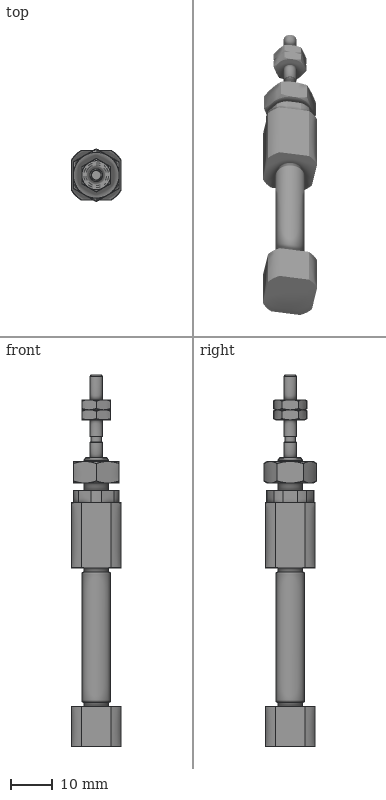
import cadquery as cq
import math

TOTAL_LENGTH = 89.5

COVER_WIDTH = 12.0
COVER_CORNER_DIAMETER = 14.0
REAR_COVER_TOP = 9.7
FRONT_COVER_BOTTOM = 43.05
FRONT_COVER_TOP = 58.7

NECK_DIAMETER = 6.0
TUBE_DIAMETER = 7.0
TUBE_BOTTOM = 10.65
TUBE_TOP = 42.0

HEX_ACROSS_FLATS = 11.0
COLLAR_TURNED_DIAMETER = 11.55
COLLAR_TOP = 61.7

THREAD_DIAMETER = 6.0
THREAD_TIP_DIAMETER = 5.0
THREAD_TOP = 69.5
THREAD_CHAMFER_HEIGHT = 0.6
MOUNT_NUT_BOTTOM = 63.5
MOUNT_NUT_HEIGHT = 5.2

ROD_DIAMETER = 3.0
ROD_CHAMFER = 0.4
UNDERCUT_DIAMETER = 2.6
UNDERCUT_BOTTOM = 73.4
UNDERCUT_TOP = 74.6
UNDERCUT_CHAMFER = (ROD_DIAMETER - UNDERCUT_DIAMETER) / 2
LOCK_NUT_ACROSS_FLATS = 7.0
LOCK_NUT_BOTTOM = 78.7
LOCK_NUT_HEIGHT = 2.4
LOCK_NUT_COUNT = 2

NUT_CHAMFER_ANGLE = 30.0


def cylinder(diameter, bottom, top):
    """Upright cylinder on the Z axis."""
    return cq.Workplane("XY").workplane(offset=bottom).circle(diameter / 2).extrude(top - bottom)


def hex_prism(across_flats, bottom, height):
    """Hexagonal prism on the Z axis, with two corners on the Y axis."""
    across_corners = across_flats / math.cos(math.pi / 6)
    prism = cq.Workplane("XY").workplane(offset=bottom).polygon(6, across_corners).extrude(height)
    return prism.rotate((0, 0, 0), (0, 0, 1), 30)


def chamfered_nut(across_flats, bottom, height):
    """Solid hexagonal nut whose corners are coned off at both ends."""
    flat_radius = across_flats / 2
    corner_radius = flat_radius / math.cos(math.pi / 6)
    drop = (corner_radius - flat_radius) * math.tan(math.radians(NUT_CHAMFER_ANGLE))
    top = bottom + height
    envelope = (
        cq.Workplane("XZ")
        .polyline([
            (0, bottom),
            (flat_radius, bottom),
            (corner_radius, bottom + drop),
            (corner_radius, top - drop),
            (flat_radius, top),
            (0, top),
        ])
        .close()
        .revolve(360, (0, 0, 0), (0, 1, 0))
    )
    return hex_prism(across_flats, bottom, height).intersect(envelope)


def cover(bottom, top):
    """Square cover whose vertical corners are turned to a common cylinder."""
    block = cq.Workplane("XY").workplane(offset=bottom).rect(COVER_WIDTH, COVER_WIDTH).extrude(top - bottom)
    return block.intersect(cylinder(COVER_CORNER_DIAMETER, bottom, top))


def make_tube():
    """Tube with quarter-round ends, on a neck that joins the two covers."""
    neck_radius = NECK_DIAMETER / 2
    tube_radius = TUBE_DIAMETER / 2
    edge_radius = tube_radius - neck_radius
    return (
        cq.Workplane("XZ")
        .moveTo(0, REAR_COVER_TOP)
        .lineTo(neck_radius, REAR_COVER_TOP)
        .lineTo(neck_radius, TUBE_BOTTOM)
        .radiusArc((tube_radius, TUBE_BOTTOM + edge_radius), -edge_radius)
        .lineTo(tube_radius, TUBE_TOP - edge_radius)
        .radiusArc((neck_radius, TUBE_TOP), -edge_radius)
        .lineTo(neck_radius, FRONT_COVER_BOTTOM)
        .lineTo(0, FRONT_COVER_BOTTOM)
        .close()
        .revolve(360, (0, 0, 0), (0, 1, 0))
    )


def make_collar():
    """Hexagonal collar with its corners turned to a cylinder."""
    collar = hex_prism(HEX_ACROSS_FLATS, FRONT_COVER_TOP, COLLAR_TOP - FRONT_COVER_TOP)
    return collar.intersect(cylinder(COLLAR_TURNED_DIAMETER, FRONT_COVER_TOP, COLLAR_TOP))


def make_mounting_thread():
    """Plain thread cylinder with a conical tip."""
    tip_inset = (THREAD_DIAMETER - THREAD_TIP_DIAMETER) / 2
    thread = cylinder(THREAD_DIAMETER, COLLAR_TOP, THREAD_TOP)
    return thread.faces(">Z").chamfer(THREAD_CHAMFER_HEIGHT, tip_inset)


def make_housing():
    """Covers, tube, collar and mounting thread with its nut."""
    return (
        cover(0, REAR_COVER_TOP)
        .union(make_tube())
        .union(cover(FRONT_COVER_BOTTOM, FRONT_COVER_TOP))
        .union(make_collar())
        .union(make_mounting_thread())
        .union(chamfered_nut(HEX_ACROSS_FLATS, MOUNT_NUT_BOTTOM, MOUNT_NUT_HEIGHT))
    )


def make_rod():
    """Rod standing on the end of the mounting thread, with its lock nuts."""
    lower = cylinder(ROD_DIAMETER, THREAD_TOP, UNDERCUT_BOTTOM).faces(">Z").chamfer(UNDERCUT_CHAMFER)
    undercut = cylinder(UNDERCUT_DIAMETER, UNDERCUT_BOTTOM, UNDERCUT_TOP)
    upper = cylinder(ROD_DIAMETER, UNDERCUT_TOP, TOTAL_LENGTH).faces(">Z").chamfer(ROD_CHAMFER)
    rod = lower.union(undercut).union(upper)
    for index in range(LOCK_NUT_COUNT):
        nut_bottom = LOCK_NUT_BOTTOM + index * LOCK_NUT_HEIGHT
        rod = rod.union(chamfered_nut(LOCK_NUT_ACROSS_FLATS, nut_bottom, LOCK_NUT_HEIGHT))
    return rod


housing = make_housing()
rod = make_rod()

result = cq.Compound.makeCompound([housing.val(), rod.val()])